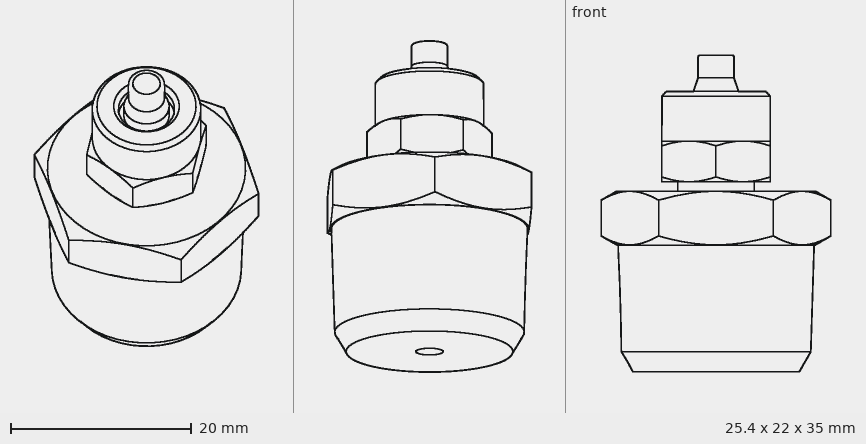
import cadquery as cq
import math

lead_in_top = 2.2
thread_top = 13.58
hex_bottom = 14.0
hex_top = 20.0
nut_bottom = 21.0
nut_hex_top = 25.5
neck_top = 29.35
nut_top = 31.0
barb_cone_top = 32.5
overall_height = 35.0

thread_diameter = 21.7
thread_taper = 1 / 16
lead_in_angle = 30.0
hex_width = 22.0
hex_face_diameter = 21.9
neck_diameter = 8.5
barb_root_diameter = 5.0
barb_tip_diameter = 4.0
barb_tip_round = 0.2
bore_diameter = 3.0

nut_diameter = 12.0
nut_hex_width = nut_diameter
nut_edge_chamfer = 0.52
nut_mouth_diameter = 6.2
nut_mouth_chamfer = 0.52

hex_chamfer_angle = 30.0


def tan_deg(angle):
    return math.tan(math.radians(angle))


def revolve_profile(points):
    """Solid of revolution about Z from a closed (radius, height) outline."""
    return cq.Workplane("XZ").polyline(points).close().revolve(360, (0, 0), (0, 1))


def cylinder(diameter, bottom, top):
    return cq.Workplane("XY").workplane(offset=bottom).circle(diameter / 2).extrude(top - bottom)


def chamfered_hex(width, face_diameter, bottom, top, turn):
    """Hexagonal prism with its corners turned to conical chamfers at both ends."""
    corner_radius = width / math.sqrt(3)
    face_radius = face_diameter / 2
    drop = (corner_radius - face_radius) * tan_deg(hex_chamfer_angle)
    prism = (
        cq.Workplane("XY")
        .workplane(offset=bottom)
        .polygon(6, 2 * corner_radius)
        .extrude(top - bottom)
        .rotate((0, 0, 0), (0, 0, 1), turn)
    )
    envelope = revolve_profile([
        (0, bottom),
        (face_radius, bottom),
        (corner_radius, bottom + drop),
        (corner_radius, top - drop),
        (face_radius, top),
        (0, top),
    ])
    return prism.intersect(envelope)


def make_threaded_end():
    """Tapered thread blank with a conical lead-in and a short collar."""
    top_radius = thread_diameter / 2
    low_radius = top_radius - (thread_top - lead_in_top) * thread_taper / 2
    end_radius = low_radius - lead_in_top * tan_deg(lead_in_angle)
    return revolve_profile([
        (0, 0),
        (end_radius, 0),
        (low_radius, lead_in_top),
        (top_radius, thread_top),
        (top_radius, hex_bottom),
        (0, hex_bottom),
    ])


def make_barb():
    """Hose spigot rising from the neck, tapering to a rounded tip."""
    root_radius = barb_root_diameter / 2
    tip_radius = barb_tip_diameter / 2
    barb = revolve_profile([
        (0, neck_top),
        (root_radius, neck_top),
        (root_radius, nut_top),
        (tip_radius, barb_cone_top),
        (tip_radius, overall_height),
        (0, overall_height),
    ])
    return barb.faces(">Z").edges().fillet(barb_tip_round)


def make_body():
    """Thread, hexagon, neck and barb in one piece, bored right through."""
    hexagon = chamfered_hex(hex_width, hex_face_diameter, hex_bottom, hex_top, 0)
    neck = cylinder(neck_diameter, hex_top, neck_top)
    bore = cylinder(bore_diameter, 0, overall_height)
    return make_threaded_end().union(hexagon).union(neck).union(make_barb()).cut(bore)


def make_nut():
    """Union nut seated on the neck, with a countersunk mouth around the barb."""
    hexagon = chamfered_hex(nut_hex_width, nut_diameter, nut_bottom, nut_hex_top, 30)
    sleeve = cylinder(nut_diameter, nut_hex_top, nut_top).faces(">Z").edges().chamfer(nut_edge_chamfer)
    neck_bore = cylinder(neck_diameter, nut_bottom, neck_top)
    mouth_radius = nut_mouth_diameter / 2
    mouth = revolve_profile([
        (0, neck_top),
        (mouth_radius, neck_top),
        (mouth_radius, nut_top - nut_mouth_chamfer),
        (mouth_radius + nut_mouth_chamfer, nut_top),
        (0, nut_top),
    ])
    return hexagon.union(sleeve).cut(neck_bore).cut(mouth)


body = make_body()
nut = make_nut()

result = cq.Compound.makeCompound([body.val(), nut.val()])